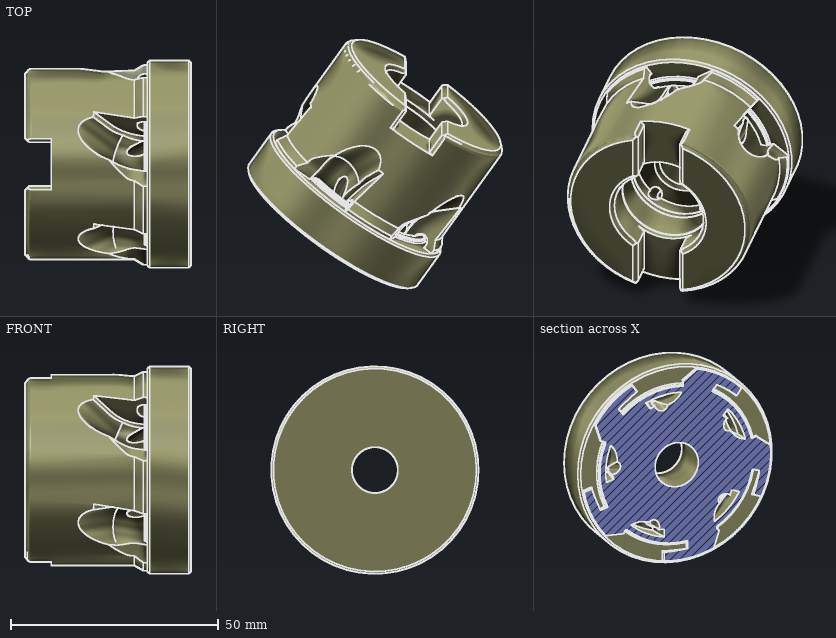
import cadquery as cq
import math

total_length = 39.95

flange_radius = 25.0
flange_start = 29.45
flange_chamfer = 0.55

body_radius = 23.005
rim_face_radius = 21.85
rim_chamfer_length = 0.6
rim_round_end = 1.55
rim_round_radius = 1.05
neck_radius = 24.255
neck_cone_start = 26.35
neck_cone_angle = 30.0

bore_depth = 20.0
bore_mouth_radius = 11.15
bore_mouth_chamfer = 0.95
bore_mouth_end = 7.7
bore_fit_radius = 11.0
bore_groove_radius = 11.1
bore_groove_start = 15.2
bore_groove_end = 16.75

bolt_hole_radius = 5.5
bolt_hole_chamfer = 1.0

slot_half_width = 5.25
slot_depth = 6.3
slot_mouth_chamfer = 1.0
slot_wall_bottom = 10.2
slot_wall_top = 21.3
slot_inner_bevel_width = 2.0
slot_inner_bevel_drop = 1.8

flute_count = 5
flute_tilt = 10.0
floor_height = 16.0
seat_side = 1.75
seat_slope = 45.0
seat_corner = 23.55
seat_arc_radius = 10.0
clearance_slope = 30.0
clearance_corner = 27.7
clearance_arc_radius = 5.0
groove_side = -4.1
groove_radius = 5.0
groove_run = 17.5
groove_bend_along = 24.5
groove_bend_height = 18.45

ring_front = 28.7
ring_inner_radius = 18.2
ring_outer_radius = 20.0
ring_front_chamfer = 0.25
ring_foot_chamfer = 0.35
flute_end = 33.95

screw_hole_diameter = 3.6
screw_hole_along = 28.9
screw_hole_height = 20.0
screw_hole_depth = 6.0

coolant_diameter = 3.0
coolant_inlet = (bore_depth, 10.6, -35.5)
coolant_outlet = (28.65, 16.3, -21.5)
coolant_overrun = 2.5

far = 2 * flange_radius

tilt = math.radians(flute_tilt)
flute_plane = cq.Plane(
    origin=(0, 0, 0),
    xDir=(math.cos(tilt), math.sin(tilt), 0),
    normal=(-math.sin(tilt), math.cos(tilt), 0),
)


def revolve_about_x(outline):
    return outline.close().revolve(360, (0, 0, 0), (1, 0, 0))


def side_plane(side):
    """Flute layout plane moved sideways; its normal points away from the seat."""
    return cq.Workplane(flute_plane).workplane(offset=-side)


def outer_body():
    rim_angle = math.asin((rim_round_end - rim_chamfer_length) / rim_round_radius)

    def rim_point(angle):
        return (
            rim_round_end - rim_round_radius * math.sin(angle),
            body_radius - rim_round_radius * (1 - math.cos(angle)),
        )

    neck_rise = neck_radius - body_radius
    neck_cone_end = neck_cone_start + neck_rise / math.tan(math.radians(neck_cone_angle))
    outline = (
        cq.Workplane("XY")
        .lineTo(0, rim_face_radius)
        .lineTo(*rim_point(rim_angle))
        .threePointArc(rim_point(rim_angle / 2), rim_point(0))
        .lineTo(neck_cone_start, body_radius)
        .lineTo(neck_cone_end, neck_radius)
        .lineTo(flange_start, neck_radius)
        .lineTo(flange_start, flange_radius - flange_chamfer)
        .lineTo(flange_start + flange_chamfer, flange_radius)
        .lineTo(total_length - flange_chamfer, flange_radius)
        .lineTo(total_length, flange_radius - flange_chamfer)
        .lineTo(total_length, 0)
    )
    return revolve_about_x(outline)


def stepped_bore():
    outline = (
        cq.Workplane("XY")
        .lineTo(0, bore_mouth_radius + bore_mouth_chamfer)
        .lineTo(bore_mouth_chamfer, bore_mouth_radius)
        .lineTo(bore_mouth_end, bore_mouth_radius)
        .lineTo(bore_mouth_end, bore_fit_radius)
        .lineTo(bore_groove_start, bore_fit_radius)
        .lineTo(bore_groove_start, bore_groove_radius)
        .lineTo(bore_groove_end, bore_groove_radius)
        .lineTo(bore_groove_end, bore_fit_radius)
        .lineTo(bore_depth, bore_fit_radius)
        .lineTo(bore_depth, bolt_hole_radius + bolt_hole_chamfer)
        .lineTo(bore_depth + bolt_hole_chamfer, bolt_hole_radius)
        .lineTo(total_length, bolt_hole_radius)
        .lineTo(total_length, 0)
    )
    return revolve_about_x(outline)


def drive_slot():
    outer_bevel = flange_radius - slot_wall_top
    right_side = [
        (slot_half_width + slot_inner_bevel_width, slot_wall_bottom - slot_inner_bevel_drop),
        (slot_half_width, slot_wall_bottom),
        (slot_half_width, slot_wall_top),
        (slot_half_width + outer_bevel, flange_radius),
    ]
    left_side = [(-y, z) for y, z in reversed(right_side)]
    channel = cq.Workplane("YZ").polyline(right_side + left_side).close().extrude(slot_depth)

    mouth_half_width = slot_half_width + slot_mouth_chamfer
    mouth_outline = [
        (0, mouth_half_width),
        (slot_mouth_chamfer, slot_half_width),
        (slot_mouth_chamfer, -slot_half_width),
        (0, -mouth_half_width),
    ]
    mouth = cq.Workplane("XY").polyline(mouth_outline).close().extrude(flange_radius)

    upper_half = channel.union(mouth)
    return upper_half.union(upper_half.rotate((0, 0, 0), (1, 0, 0), 180))


def sloped_pocket(corner, slope, arc_radius, first_side, last_side):
    """Pocket with a level floor that curves up into a slope, open outwards."""
    angle = math.radians(slope)
    tangent_length = arc_radius * math.tan(angle / 2)
    slope_foot = (
        corner - tangent_length * math.cos(angle),
        floor_height + tangent_length * math.sin(angle),
    )
    arc_end = (corner + tangent_length, floor_height)
    arc_middle = (
        arc_end[0] - arc_radius * math.sin(angle / 2),
        floor_height + arc_radius * (1 - math.cos(angle / 2)),
    )
    slope_top = (corner - (far - floor_height) / math.tan(angle), far)
    return (
        side_plane(first_side)
        .moveTo(*slope_top)
        .lineTo(*slope_foot)
        .threePointArc(arc_middle, arc_end)
        .lineTo(far, floor_height)
        .lineTo(far, far)
        .close()
        .extrude(first_side - last_side)
    )


def chip_groove():
    """Round groove that comes down parallel to the seat slope and then runs level."""
    angle = math.radians(seat_slope)
    path_points = [
        (groove_bend_along - groove_run, groove_bend_height + groove_run * math.tan(angle)),
        (groove_bend_along, groove_bend_height),
        (groove_bend_along + groove_run, groove_bend_height),
    ]
    layout = side_plane(groove_side)
    start, bend = (layout.plane.toWorldCoords(point) for point in path_points[:2])
    section = cq.Workplane(cq.Plane(origin=start, normal=bend - start)).circle(groove_radius)
    return section.sweep(layout.polyline(path_points), transition="right")


def screw_hole():
    return (
        side_plane(seat_side)
        .center(screw_hole_along, screw_hole_height)
        .circle(screw_hole_diameter / 2)
        .extrude(-screw_hole_depth)
    )


def coolant_hole():
    def location(x, radius, degrees):
        angle = math.radians(degrees)
        return cq.Vector(x, -radius * math.sin(angle), -radius * math.cos(angle))

    inlet = location(*coolant_inlet)
    outlet = location(*coolant_outlet)
    direction = (outlet - inlet).normalized()
    start = inlet - direction * coolant_overrun
    length = (outlet - inlet).Length + 2 * coolant_overrun
    return cq.Workplane(cq.Solid.makeCylinder(coolant_diameter / 2, length, start, direction))


def flute_space():
    """Space the flutes may take up: it stops at the flange and passes behind the ring."""
    outline = (
        cq.Workplane("XY")
        .lineTo(flute_end, 0)
        .lineTo(flute_end, ring_inner_radius)
        .lineTo(ring_front, ring_inner_radius)
        .lineTo(ring_front, ring_outer_radius - ring_front_chamfer)
        .lineTo(ring_front + ring_front_chamfer, ring_outer_radius)
        .lineTo(flange_start - ring_foot_chamfer, ring_outer_radius)
        .lineTo(flange_start, ring_outer_radius + ring_foot_chamfer)
        .lineTo(flange_start, far)
        .lineTo(0, far)
    )
    return revolve_about_x(outline)


def flute():
    """One flute, on the -Z side of the axis."""
    seat = sloped_pocket(seat_corner, seat_slope, seat_arc_radius, seat_side, groove_side)
    clearance = sloped_pocket(
        clearance_corner, clearance_slope, clearance_arc_radius, groove_side, -far
    )
    pockets = seat.union(clearance).union(chip_groove())
    return pockets.union(screw_hole()).union(coolant_hole()).intersect(flute_space())


result = outer_body().cut(stepped_bore()).cut(drive_slot())
first_flute = flute()
for index in range(flute_count):
    turn = index * 360 / flute_count
    result = result.cut(first_flute.rotate((0, 0, 0), (1, 0, 0), turn))